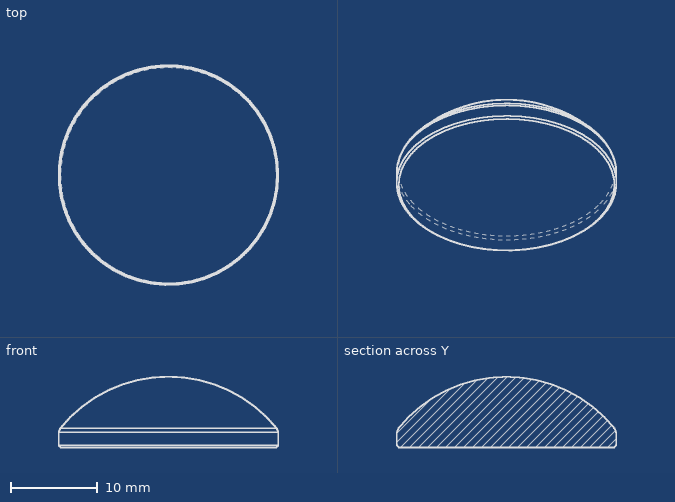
import cadquery as cq

outer_radius = 12.7
total_height = 8.2
base_chamfer = 0.25
rim_top_height = 1.78
dome_edge_height = 2.2
dome_edge_radius = 12.52

dome_rise = total_height - dome_edge_height
sphere_radius = (dome_edge_radius**2 + dome_rise**2) / (2 * dome_rise)
sphere_center_height = total_height - sphere_radius

mid_radius = dome_edge_radius / 2
mid_height = sphere_center_height + (sphere_radius**2 - mid_radius**2) ** 0.5

half_section = (
    cq.Workplane("XZ")
    .moveTo(0, 0)
    .lineTo(outer_radius - base_chamfer, 0)
    .lineTo(outer_radius, base_chamfer)
    .lineTo(outer_radius, rim_top_height)
    .lineTo(dome_edge_radius, dome_edge_height)
    .threePointArc((mid_radius, mid_height), (0, total_height))
    .close()
)

result = half_section.revolve(360, (0, 0, 0), (0, 1, 0))